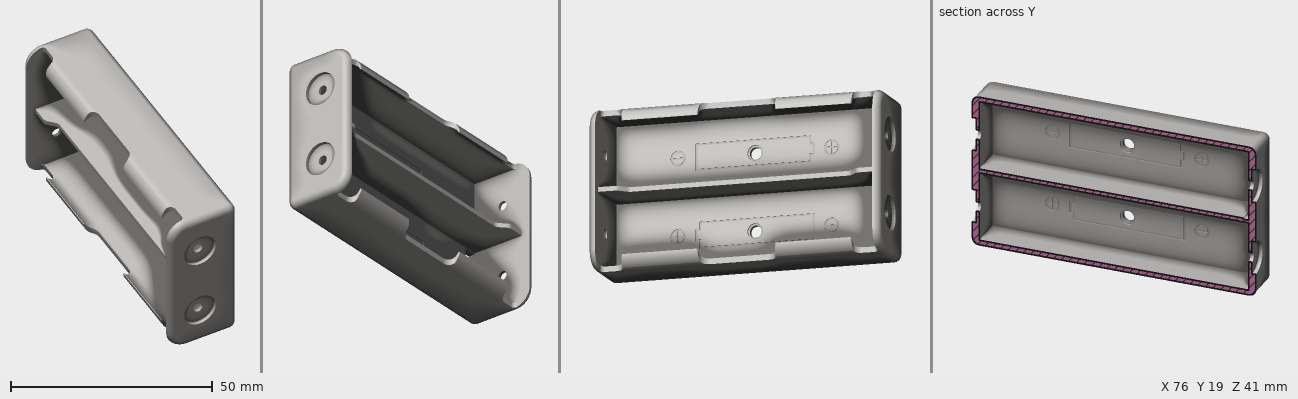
import cadquery as cq
import math

LENGTH = 76.0
DEPTH = 19.0
HEIGHT = 41.0
END_WALL = 1.9
SIDE_WALL = 1.4
FLOOR = 1.8
EDGE_RADIUS = END_WALL
FRONT_CORNER_RADIUS = 5.0
DIVIDER = 1.2
CELL_Z = 9.95

LIP_RADIUS = 3.0
LIP_BEVEL_REACH = 0.5
LIP_SHOULDER_REACH = 1.4
LIP_SHOULDER_RADIUS = 6.0
LIP_CURL_RADIUS = 4.0
LIP_INNER_RADIUS = 3.9
LIP_INNER_SETBACK = 0.5
LIP_INNER_DROP = 2.1
LIP_INNER_REACH = 2.8
LIP_INNER_END = 10.0
LIP_OUTER_END = 30.0
LIP_TIP_ROUND = 0.5
MIDDLE_NOTCH_RADIUS = 2.5
END_NOTCH_RADIUS = 2.0
END_WALL_NOTCH_RADIUS = 1.0

DIVIDER_END_RISE = 2.5
DIVIDER_RAMP_FOOT_X = 28.75
DIVIDER_RAMP_RADIUS = 1.8
SELECT_MARGIN = 1.0
STRAP_GROOVE_WIDTH = 1.5
STRAP_GROOVE_DEPTH = 0.3
STRAP_GROOVE_FRONT_Y = -3.5
STRAP_GROOVE_BACK_Y = 5.6

CONTACT_Y = -1.0
CONTACT_HOLE_DIAMETER = 2.5
CONTACT_SEAT_DIAMETER = 8.9
CONTACT_SEAT_DEPTH = 1.0

SCREW_HOLE_DIAMETER = 3.1
SCREW_HEAD_DIAMETER = 4.0
SCREW_HEAD_DEPTH = 0.5
TAB_SLOT_LENGTH = 2.1
TAB_SLOT_HEIGHT = 4.2
TAB_SLOT_X = 34.15
STRAP_SLOT_LENGTH = 3.8
STRAP_SLOT_INNER_Z = 0.85
STRAP_SLOT_OUTER_Z = 2.85

MARK_DEPTH = 0.2
MARK_LINE = 0.45
POLARITY_X = 20.0
POLARITY_DIAMETER = 4.0
POLARITY_INNER_DIAMETER = 3.0
POLARITY_BAR = 0.4
CELL_MARK_LENGTH = 30.1
CELL_MARK_HEIGHT = 6.9
CELL_MARK_TIP_LENGTH = 0.9
CELL_MARK_TIP_HEIGHT = 3.1

BACK_Y = DEPTH / 2
FRONT_Y = -DEPTH / 2
FLOOR_Y = BACK_Y - FLOOR
RIM_Y = FRONT_Y + FRONT_CORNER_RADIUS
OUTER_Z = HEIGHT / 2
INNER_Z = OUTER_Z - SIDE_WALL
INNER_X = LENGTH / 2 - END_WALL
LIP_TIP_Y = RIM_Y - LIP_RADIUS
DIVIDER_END_Y = RIM_Y - DIVIDER_END_RISE


def block(x_range, y_range, z_range):
    """Box spanning the given (low, high) range on each axis."""
    size = [high - low for low, high in (x_range, y_range, z_range)]
    corner = (x_range[0], y_range[0], z_range[0])
    return cq.Workplane("XY").box(*size, centered=False).translate(corner)


def rod_y(x, z, diameter, front_y, back_y):
    """Cylinder along Y between two Y positions."""
    plane = cq.Workplane("XZ", origin=(x, back_y, z))
    return plane.circle(diameter / 2).extrude(back_y - front_y)


def rod_x(y, z, diameter, low_x, high_x):
    """Cylinder along X between two X positions."""
    plane = cq.Workplane("YZ", origin=(low_x, y, z))
    return plane.circle(diameter / 2).extrude(high_x - low_x)


def make_tray():
    """Rounded block opened at the front, with a side wall rim set back between the end walls."""
    tray = cq.Workplane("XY").box(LENGTH, DEPTH, HEIGHT)
    tray = tray.edges("|X and <Y").fillet(FRONT_CORNER_RADIUS)
    tray = tray.edges("(|X and >Y) or <X or >X").fillet(EDGE_RADIUS)
    inner_x = (-INNER_X, INNER_X)
    tray = tray.cut(block(inner_x, (FRONT_Y, FLOOR_Y), (-INNER_Z, INNER_Z)))
    return tray.cut(block(inner_x, (FRONT_Y, RIM_Y), (-OUTER_Z, OUTER_Z)))


def make_lip_strip():
    """Full-length curled strip along the top rim, rolled inward past a bevel and a gentle shoulder."""
    arc_z = OUTER_Z - LIP_RADIUS
    tip_z = INNER_Z - LIP_INNER_DROP
    inner_start_y = RIM_Y + LIP_INNER_SETBACK

    def outer_point(reach):
        """Point on the outer curl at a given distance in front of the rim."""
        return (RIM_Y - reach, arc_z + math.sqrt(LIP_RADIUS**2 - reach**2))

    section = (
        cq.Workplane("YZ", origin=(-INNER_X, 0, 0))
        .moveTo(inner_start_y, INNER_Z)
        .lineTo(inner_start_y, OUTER_Z)
        .lineTo(RIM_Y, OUTER_Z)
        .lineTo(*outer_point(LIP_BEVEL_REACH))
        .radiusArc(outer_point(LIP_SHOULDER_REACH), -LIP_SHOULDER_RADIUS)
        .radiusArc((LIP_TIP_Y, tip_z), -LIP_CURL_RADIUS)
        .lineTo(RIM_Y - LIP_INNER_REACH, tip_z)
        .radiusArc((inner_start_y, INNER_Z), LIP_INNER_RADIUS)
    )
    return section.close().extrude(2 * INNER_X)


def make_lip_outline():
    """Prism over the XY outline of the +X lip: flared into the rim and rounded at its tip corners."""
    tip = block((LIP_INNER_END, LIP_OUTER_END), (LIP_TIP_Y, RIM_Y), (0, OUTER_Z))
    tip = tip.edges("|Z and <Y").fillet(LIP_TIP_ROUND)
    flares = (
        (LIP_INNER_END, -1, MIDDLE_NOTCH_RADIUS),
        (LIP_OUTER_END, 1, END_NOTCH_RADIUS),
        (INNER_X, -1, END_WALL_NOTCH_RADIUS),
    )
    outline = tip.union(block((0, LIP_OUTER_END), (RIM_Y, RIM_Y + LIP_INNER_SETBACK), (0, OUTER_Z)))
    for corner_x, direction, radius in flares:
        outline = outline.union(make_flare(corner_x, direction, radius))
    return outline


def make_flare(corner_x, direction, radius):
    """Concave corner fill under the rim, spreading from corner_x in the given X direction."""
    far_x = corner_x + direction * radius
    corner = block(
        (min(corner_x, far_x), max(corner_x, far_x)), (RIM_Y - radius, RIM_Y), (0, OUTER_Z)
    )
    hollow = (
        cq.Workplane("XY")
        .center(far_x, RIM_Y - radius)
        .circle(radius)
        .extrude(OUTER_Z)
    )
    return corner.cut(hollow)


def make_lips():
    """Two lips on each side wall."""
    lip = make_lip_strip().intersect(make_lip_outline())
    top_lips = lip.union(lip.mirror("YZ"))
    return top_lips.union(top_lips.mirror("XY"))


def make_divider():
    """Wall between the bays; its front edge ramps out to taller ends."""
    ramp_top_x = DIVIDER_RAMP_FOOT_X + DIVIDER_END_RISE
    divider = (
        cq.Workplane("XY", origin=(0, 0, -DIVIDER / 2))
        .polyline([
            (-INNER_X, FLOOR_Y),
            (-INNER_X, DIVIDER_END_Y),
            (-ramp_top_x, DIVIDER_END_Y),
            (-DIVIDER_RAMP_FOOT_X, RIM_Y),
            (DIVIDER_RAMP_FOOT_X, RIM_Y),
            (ramp_top_x, DIVIDER_END_Y),
            (INNER_X, DIVIDER_END_Y),
            (INNER_X, FLOOR_Y),
        ])
        .close()
        .extrude(DIVIDER)
    )
    ramp_edges = cq.selectors.BoxSelector(
        (-ramp_top_x - SELECT_MARGIN, DIVIDER_END_Y - SELECT_MARGIN, -DIVIDER),
        (ramp_top_x + SELECT_MARGIN, RIM_Y + SELECT_MARGIN, DIVIDER),
    )
    divider = divider.edges("|Z").edges(ramp_edges).fillet(DIVIDER_RAMP_RADIUS)
    groove = block(
        (INNER_X - STRAP_GROOVE_WIDTH, INNER_X),
        (STRAP_GROOVE_FRONT_Y, STRAP_GROOVE_BACK_Y),
        (DIVIDER / 2 - STRAP_GROOVE_DEPTH, DIVIDER / 2),
    )
    return divider.cut(groove)


def make_contact_seat(z):
    """Through hole in both end walls with a round recess on each outer face."""
    end_x = LENGTH / 2
    seat = rod_x(CONTACT_Y, z, CONTACT_HOLE_DIAMETER, INNER_X, end_x)
    seat = seat.union(rod_x(CONTACT_Y, z, CONTACT_SEAT_DIAMETER, end_x - CONTACT_SEAT_DEPTH, end_x))
    return seat.union(seat.mirror("YZ"))


def make_bay_openings(z):
    """Screw hole with its head recess, and the contact tab slot, through the floor of one bay."""
    openings = rod_y(0, z, SCREW_HOLE_DIAMETER, FLOOR_Y, BACK_Y)
    openings = openings.union(rod_y(0, z, SCREW_HEAD_DIAMETER, FLOOR_Y, FLOOR_Y + SCREW_HEAD_DEPTH))
    slot = block(
        (TAB_SLOT_X - TAB_SLOT_LENGTH / 2, TAB_SLOT_X + TAB_SLOT_LENGTH / 2),
        (FLOOR_Y, BACK_Y),
        (z - TAB_SLOT_HEIGHT / 2, z + TAB_SLOT_HEIGHT / 2),
    )
    return openings.union(slot)


def make_strap_slots():
    """Two floor slots beside the divider at the +X wall."""
    slot = block(
        (INNER_X - STRAP_SLOT_LENGTH, INNER_X),
        (FLOOR_Y, BACK_Y),
        (STRAP_SLOT_INNER_Z, STRAP_SLOT_OUTER_Z),
    )
    return slot.union(slot.mirror("XY"))


def mark_block(x, z, length, height):
    """Block as deep as an engraving, centred on (x, z) in the floor."""
    return block(
        (x - length / 2, x + length / 2),
        (FLOOR_Y, FLOOR_Y + MARK_DEPTH),
        (z - height / 2, z + height / 2),
    )


def make_cell_shape(inset):
    """Battery silhouette of the upper bay, terminal toward +X, shrunk by an inset."""
    tip_end = (CELL_MARK_LENGTH + CELL_MARK_TIP_LENGTH) / 2
    body_x = -CELL_MARK_TIP_LENGTH / 2
    tip_length = tip_end - inset
    body = mark_block(body_x, CELL_Z, CELL_MARK_LENGTH - 2 * inset, CELL_MARK_HEIGHT - 2 * inset)
    tip = mark_block(tip_length / 2, CELL_Z, tip_length, CELL_MARK_TIP_HEIGHT - 2 * inset)
    return body.union(tip)


def make_polarity_mark(x, is_plus):
    """Ring with a minus bar, or with a plus."""
    mark_back = FLOOR_Y + MARK_DEPTH
    ring = rod_y(x, CELL_Z, POLARITY_DIAMETER, FLOOR_Y, mark_back)
    ring = ring.cut(rod_y(x, CELL_Z, POLARITY_INNER_DIAMETER, FLOOR_Y, mark_back))
    mark = ring.union(mark_block(x, CELL_Z, POLARITY_INNER_DIAMETER, POLARITY_BAR))
    if is_plus:
        mark = mark.union(mark_block(x, CELL_Z, POLARITY_BAR, POLARITY_INNER_DIAMETER))
    return mark


def make_floor_marks():
    """Battery outline and polarity marks; the lower bay is the upper one turned half round."""
    marks = make_cell_shape(0).cut(make_cell_shape(MARK_LINE))
    marks = marks.union(make_polarity_mark(-POLARITY_X, False))
    marks = marks.union(make_polarity_mark(POLARITY_X, True))
    return marks.union(marks.rotate((0, 0, 0), (0, 1, 0), 180))


holder = make_tray().union(make_lips()).union(make_divider())
for bay_z in (-CELL_Z, CELL_Z):
    holder = holder.cut(make_contact_seat(bay_z)).cut(make_bay_openings(bay_z))
result = holder.cut(make_strap_slots()).cut(make_floor_marks())